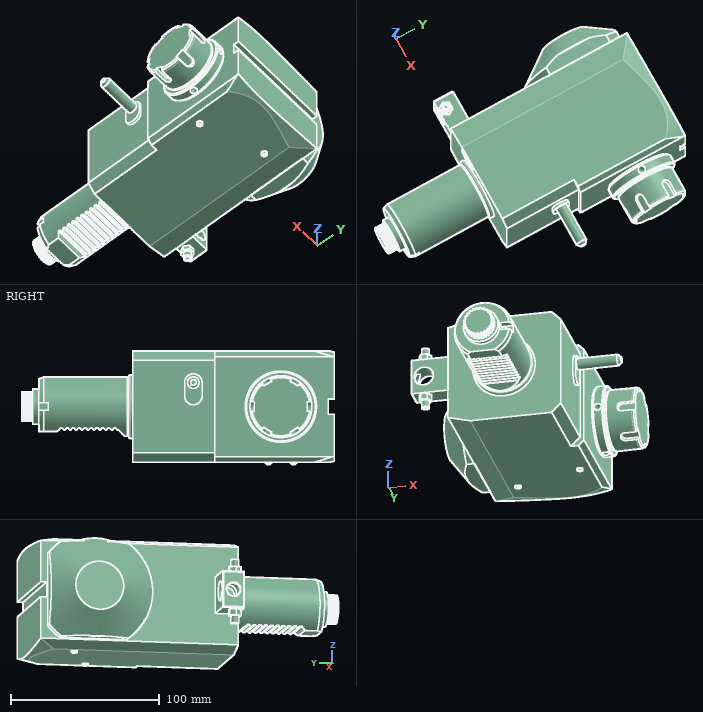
import cadquery as cq
import math


HALF_HEIGHT = 37.5
LEFT_X = -39.0
RIGHT_X = 42.0
BACK_Y = 136.0
LEFT_BEVEL_WIDTH = 15.5
LEFT_BEVEL_ANGLE = 15
LEFT_BEVEL_DROP = LEFT_BEVEL_WIDTH * math.tan(math.radians(LEFT_BEVEL_ANGLE))
RIGHT_CHAMFER = 3.8
STEP_X = 39.2
STEP_Y = 55.3
STEP_CHAMFER = 6.3
KEY_SLOT_HEIGHT = 10.1
KEY_SLOT_DEPTH = 4.0
CROWN_RUN_PER_DROP = 4.4
CROWN_DROP = 6.3
CROWN_CREST = [(-46.5, -21.3), (-23.6, -11.8), (-3.8, -6.0), (13.5, -3.2), (28.7, -6.5), (37.5, -12.9), (44.3, -21.3)]
PLUG_X = -15.8
PLUG_Z = 27.6
PLUG_RADIUS = 7.5
PLUG_RECESS = 0.5

SPINDLE_Y = 100.0
RING_RADIUS = 24.0
RING_START_X = 42.6
RING_END_X = 50.2
RING_CHAMFER = 0.8
RING_NECK_RADIUS = 22.8
RING_HOLE_RADIUS = 2.5
RING_HOLE_DEPTH = 3.2
RING_HOLE_COUNT = 4
NUT_RADIUS = 20.9
NUT_START_X = 51.5
NUT_END_X = 71.5
NUT_NECK_RADIUS = 20.3
NUT_CHAMFER = 1.0
NUT_TAPER_START_X = 69.0
NUT_TAPER_DROP = 0.2
NUT_SLOT_COUNT = 6
NUT_SLOT_WIDTH = 6.3
NUT_SLOT_DEPTH = 3.0
NUT_SLOT_START_X = 59.3

CAP_RADIUS = 39.9
CAP_TIP_RADIUS = 16.5
CAP_RIM_X = -44.7
CAP_TIP_X = -62.0
CAP_FLAT_Z = 32.5
CAP_TOP_FLAT_END_X = -48.5
CAP_BOTTOM_FLAT_END_X = -49.8
CAP_BACK_FLAT_Y = 131.2

SHANK_RADIUS = 20.0
SHANK_END_Y = -63.3
SHANK_CHAMFER_LENGTH = 3.4
SHANK_CHAMFER_DEPTH = 1.3
COLLAR_RADIUS = 21.5
COLLAR_LENGTH = 2.7
COLLAR_ROUND = 1.3
COLLAR_GROOVE_END_Y = -3.5
COLLAR_GROOVE_RADIUS = 19.6
NOSE_RADIUS = 12.0
NOSE_END_Y = -67.5
SPLINE_TIP_RADIUS = 10.0
SPLINE_ROOT_RADIUS = 9.0
SPLINE_END_Y = -75.0
SPLINE_TEETH = 24
RACK_RAMP_START_Y = -5.3
RACK_TIP_Z = -15.8
RACK_ROOT_Z = -14.5
RACK_PITCH = 4.0
RACK_FIRST_GROOVE_Y = -12.0
RACK_GROOVES = 10
RACK_GROOVE_FLAT = 1.0
RELIEF_Z = -16.9
RELIEF_START_Y = -51.3
END_SLOT_HALF_WIDTH = 2.5
END_POCKET_OUTER_X = 15.5
END_SLOT_DEPTH = 6.3
END_POCKET_HALF_WIDTH = 2.0
END_POCKET_DEPTH = 9.5

BLOCK_LEFT_X = -65.0
BLOCK_HALF_HEIGHT = 12.5
BLOCK_FRONT_Y = 1.0
BLOCK_BACK_Y = 16.0
BLOCK_CHAMFER = 0.6
PORT_X = -56.1
FRONT_PORT_RADIUS = 6.5
SIDE_PORT_Y = 8.5
SIDE_PORT_RADIUS = 4.9
SIDE_PORT_END_X = -42.2
SIDE_PASSAGE_RADIUS = 1.0
FITTING_Y = 6.0
FITTING_HEX_DIAMETER = 8.9
FITTING_HEX_HEIGHT = 4.2
FITTING_TUBE_RADIUS = 2.64
FITTING_HEIGHT = 9.3
FITTING_BORE_RADIUS = 1.7
FITTING_BORE_DEPTH = 4.2

PIN_Y = 41.0
PIN_Z = 16.2
PIN_RADIUS = 3.9
PIN_END_X = NUT_END_X
PIN_TIP_LENGTH = 2.3
PIN_TIP_RADIUS = 2.0
PIN_PAD_RADIUS = 6.0
PIN_PAD_END_X = 41.1
PIN_PAD_LOWER_Z = 7.2
SCREW_PLACES = [(-16.7, SPINDLE_Y + 8.5), (30.4, SPINDLE_Y - 8.5)]
SCREW_RADIUS = 2.1
SCREW_TIP_RADIUS = 0.8
SCREW_HEIGHT = 1.5
SCREW_RIM_HEIGHT = 0.6

OVERLAP = 0.5
CLEAR = 10.5


def box(x0, x1, y0, y1, z0, z1):
    """Box given by its limits along each axis."""
    return cq.Workplane("XY").box(x1 - x0, y1 - y0, z1 - z0, centered=False).translate((x0, y0, z0))


def turned_x(profile, y, z):
    """Revolve (x, radius) points about an axis parallel to X."""
    solid = cq.Workplane("XY").polyline(profile).close().revolve(360, (0, 0), (1, 0))
    return solid.translate((0, y, z))


def turned_y(profile):
    """Revolve (radius, y) points about the Y axis."""
    return cq.Workplane("XY").polyline(profile).close().revolve(360, (0, 0), (0, 1))


def housing_prism(right_x, chamfer, y0, y1):
    """Length of the housing with its bevelled left and chamfered right edges."""
    upper = [
        (LEFT_X, HALF_HEIGHT - LEFT_BEVEL_DROP),
        (LEFT_X + LEFT_BEVEL_WIDTH, HALF_HEIGHT),
        (right_x - chamfer, HALF_HEIGHT),
        (right_x, HALF_HEIGHT - chamfer),
    ]
    lower = [(x, -z) for x, z in reversed(upper)]
    prism = cq.Workplane("XZ").polyline(upper + lower).close().extrude(y0 - y1)
    return prism.translate((0, y0, 0))


def crown_cutter():
    """Oblique body that slopes the rear of the top face down along a curved front."""
    edge = [(x, BACK_Y + y) for x, y in CROWN_CREST]
    rear_y = BACK_Y + CLEAR
    outline = cq.Workplane("XY", origin=(0, 0, HALF_HEIGHT))
    outline = outline.moveTo(*edge[0]).spline(edge[1:], includeCurrent=True)
    wire = outline.lineTo(edge[-1][0], rear_y).lineTo(edge[0][0], rear_y).close().wires().val()
    slope = cq.Vector(0, CROWN_DROP * CROWN_RUN_PER_DROP, -CROWN_DROP)
    return cq.Workplane(obj=cq.Solid.extrudeLinear(wire, [], slope))


def make_housing():
    body = housing_prism(STEP_X, STEP_CHAMFER, 0, STEP_Y)
    body = body.union(housing_prism(RIGHT_X, RIGHT_CHAMFER, STEP_Y, BACK_Y))
    cutter = crown_cutter()
    body = body.cut(cutter).cut(cutter.mirror("XY"))
    slot_z = KEY_SLOT_HEIGHT / 2
    slot_floor_y = BACK_Y - KEY_SLOT_DEPTH
    body = body.cut(box(LEFT_X - CLEAR, RIGHT_X + CLEAR, slot_floor_y, BACK_Y + CLEAR, -slot_z, slot_z))
    plug = cq.Workplane("XZ").center(PLUG_X, PLUG_Z).circle(PLUG_RADIUS).extrude(-PLUG_RECESS)
    return body.cut(plug)


def make_cap():
    profile = [
        (LEFT_X + OVERLAP, 0),
        (LEFT_X + OVERLAP, CAP_RADIUS),
        (CAP_RIM_X, CAP_RADIUS),
        (CAP_TIP_X, CAP_TIP_RADIUS),
        (CAP_TIP_X, 0),
    ]
    cap = turned_x(profile, SPINDLE_Y, 0)
    y0 = SPINDLE_Y - CAP_RADIUS - CLEAR
    y1 = SPINDLE_Y + CAP_RADIUS + CLEAR
    reach = CAP_RADIUS + CLEAR
    cap = cap.cut(box(CAP_TOP_FLAT_END_X, RIGHT_X, y0, y1, CAP_FLAT_Z, reach))
    cap = cap.cut(box(CAP_BOTTOM_FLAT_END_X, RIGHT_X, y0, y1, -reach, -CAP_FLAT_Z))
    return cap.cut(box(CAP_TIP_X - CLEAR, RIGHT_X, CAP_BACK_FLAT_Y, y1, -reach, reach))


def make_spindle():
    profile = [
        (RIGHT_X - OVERLAP, 0),
        (RIGHT_X - OVERLAP, RING_NECK_RADIUS),
        (RING_START_X, RING_NECK_RADIUS),
        (RING_START_X, RING_RADIUS - RING_CHAMFER),
        (RING_START_X + RING_CHAMFER, RING_RADIUS),
        (RING_END_X - RING_CHAMFER, RING_RADIUS),
        (RING_END_X, RING_RADIUS - RING_CHAMFER),
        (RING_END_X, NUT_NECK_RADIUS),
        (NUT_START_X, NUT_NECK_RADIUS),
        (NUT_START_X, NUT_RADIUS),
        (NUT_TAPER_START_X, NUT_RADIUS),
        (NUT_END_X - NUT_CHAMFER, NUT_RADIUS - NUT_TAPER_DROP),
        (NUT_END_X, NUT_RADIUS - NUT_TAPER_DROP - NUT_CHAMFER),
        (NUT_END_X, 0),
    ]
    spindle = turned_x(profile, 0, 0)

    ring_mid_x = (RING_START_X + RING_END_X) / 2
    mouth = cq.Vector(ring_mid_x, 0, RING_RADIUS)
    cone = cq.Solid.makeCone(RING_HOLE_RADIUS, 0, RING_HOLE_DEPTH, mouth, cq.Vector(0, 0, -1))
    hole = cq.Workplane(obj=cone)
    for i in range(RING_HOLE_COUNT):
        spindle = spindle.cut(hole.rotate((0, 0, 0), (1, 0, 0), i * 360 / RING_HOLE_COUNT))

    half_width = NUT_SLOT_WIDTH / 2
    floor = NUT_RADIUS - NUT_SLOT_DEPTH
    round_x = NUT_SLOT_START_X + half_width
    slot = box(round_x, NUT_END_X + CLEAR, -half_width, half_width, floor, NUT_RADIUS + CLEAR)
    round_end = cq.Workplane("XY", origin=(round_x, 0, floor)).circle(half_width)
    round_end = round_end.extrude(NUT_SLOT_DEPTH + CLEAR)
    slot = slot.union(round_end)
    slot_step = 360 / NUT_SLOT_COUNT
    for i in range(NUT_SLOT_COUNT):
        spindle = spindle.cut(slot.rotate((0, 0, 0), (1, 0, 0), (i + 0.5) * slot_step))
    return spindle.translate((0, SPINDLE_Y, 0))


def rack_cutter():
    """Side profile (y, z) of the material removed under the shank: ramp, rack grooves and end relief."""
    bottom_z = -SHANK_RADIUS - CLEAR
    rise = RACK_ROOT_Z - RACK_TIP_Z
    half_flat = RACK_GROOVE_FLAT / 2
    half_mouth = half_flat + rise
    ramp_length = SHANK_RADIUS + RACK_TIP_Z
    points = [
        (RACK_RAMP_START_Y, bottom_z),
        (RACK_RAMP_START_Y, -SHANK_RADIUS),
        (RACK_RAMP_START_Y - ramp_length, RACK_TIP_Z),
    ]
    for i in range(RACK_GROOVES):
        y = RACK_FIRST_GROOVE_Y - i * RACK_PITCH
        points += [(y + half_mouth, RACK_TIP_Z), (y + half_flat, RACK_ROOT_Z)]
        points += [(y - half_flat, RACK_ROOT_Z), (y - half_mouth, RACK_TIP_Z)]
    points += [(RELIEF_START_Y, RELIEF_Z), (SHANK_END_Y, RELIEF_Z), (SHANK_END_Y, bottom_z)]
    return cq.Workplane("YZ").polyline(points).close().extrude(SHANK_RADIUS + CLEAR, both=True)


def make_shank():
    profile = [
        (0, OVERLAP),
        (COLLAR_GROOVE_RADIUS, OVERLAP),
        (COLLAR_GROOVE_RADIUS, COLLAR_GROOVE_END_Y),
        (SHANK_RADIUS, COLLAR_GROOVE_END_Y),
        (SHANK_RADIUS, SHANK_END_Y + SHANK_CHAMFER_LENGTH),
        (SHANK_RADIUS - SHANK_CHAMFER_DEPTH, SHANK_END_Y),
        (0, SHANK_END_Y),
    ]
    shank = turned_y(profile).cut(rack_cutter())

    slot_end_y = SHANK_END_Y + END_SLOT_DEPTH
    slot_z = END_SLOT_HALF_WIDTH
    shank = shank.cut(box(NOSE_RADIUS, COLLAR_RADIUS, SHANK_END_Y, slot_end_y, -slot_z, slot_z))
    pocket_end_y = SHANK_END_Y + END_POCKET_DEPTH
    pocket_z = END_POCKET_HALF_WIDTH
    shank = shank.cut(box(NOSE_RADIUS, END_POCKET_OUTER_X, SHANK_END_Y, pocket_end_y, -pocket_z, pocket_z))

    collar = cq.Workplane("XZ").circle(COLLAR_RADIUS).extrude(COLLAR_LENGTH)
    collar = collar.faces("<Y").edges().fillet(COLLAR_ROUND)
    shank = shank.union(collar)

    nose = cq.Workplane("XZ", origin=(0, SHANK_END_Y + OVERLAP, 0)).circle(NOSE_RADIUS)
    nose = nose.extrude(SHANK_END_Y + OVERLAP - NOSE_END_Y)
    return shank.union(nose).union(make_spline())


def make_spline():
    points = []
    quarter_pitch = math.pi / 2 / SPLINE_TEETH
    tooth_radii = [SPLINE_ROOT_RADIUS, SPLINE_TIP_RADIUS, SPLINE_TIP_RADIUS, SPLINE_ROOT_RADIUS]
    for tooth in range(SPLINE_TEETH):
        for corner, radius in enumerate(tooth_radii):
            angle = (4 * tooth + corner) * quarter_pitch
            points.append((radius * math.cos(angle), radius * math.sin(angle)))
    start_y = NOSE_END_Y + OVERLAP
    spline = cq.Workplane("XZ", origin=(0, start_y, 0)).polyline(points).close()
    return spline.extrude(start_y - SPLINE_END_Y)


def make_fitting():
    """Hex fitting with an open tube, standing on the top of the coolant block."""
    base = cq.Workplane("XY", origin=(PORT_X, FITTING_Y, BLOCK_HALF_HEIGHT - OVERLAP))
    hexagon = base.polygon(6, FITTING_HEX_DIAMETER).extrude(FITTING_HEX_HEIGHT + OVERLAP)
    tube = base.circle(FITTING_TUBE_RADIUS).extrude(FITTING_HEIGHT + OVERLAP)
    tube_top_z = BLOCK_HALF_HEIGHT + FITTING_HEIGHT
    bore = cq.Workplane("XY", origin=(PORT_X, FITTING_Y, tube_top_z))
    bore = bore.circle(FITTING_BORE_RADIUS).extrude(-FITTING_BORE_DEPTH)
    return hexagon.union(tube).cut(bore)


def make_coolant_block():
    top_z = BLOCK_HALF_HEIGHT
    block = box(BLOCK_LEFT_X, LEFT_X + OVERLAP, BLOCK_FRONT_Y, BLOCK_BACK_Y, -top_z, top_z)
    block = block.faces("<X").edges().chamfer(BLOCK_CHAMFER)
    front_port = cq.Workplane("XZ").center(PORT_X, 0).circle(FRONT_PORT_RADIUS).extrude(-BLOCK_BACK_Y - CLEAR)
    side = cq.Workplane("YZ", origin=(BLOCK_LEFT_X, SIDE_PORT_Y, 0))
    side_port = side.circle(SIDE_PORT_RADIUS).extrude(SIDE_PORT_END_X - BLOCK_LEFT_X)
    side_passage = side.circle(SIDE_PASSAGE_RADIUS).extrude(LEFT_X - BLOCK_LEFT_X)
    block = block.cut(front_port).cut(side_port).cut(side_passage)
    fitting = make_fitting()
    return block.union(fitting).union(fitting.mirror("XY"))


def make_stop_pin():
    start_x = STEP_X - OVERLAP
    profile = [
        (start_x, 0),
        (start_x, PIN_RADIUS),
        (PIN_END_X - PIN_TIP_LENGTH, PIN_RADIUS),
        (PIN_END_X, PIN_TIP_RADIUS),
        (PIN_END_X, 0),
    ]
    pin = turned_x(profile, PIN_Y, PIN_Z)
    pad_mid_z = (PIN_Z + PIN_PAD_LOWER_Z) / 2
    pad_length = PIN_Z - PIN_PAD_LOWER_Z + 2 * PIN_PAD_RADIUS
    pad = cq.Workplane("YZ", origin=(start_x, PIN_Y, pad_mid_z))
    pad = pad.slot2D(pad_length, 2 * PIN_PAD_RADIUS, 90).extrude(PIN_PAD_END_X - start_x)
    return pin.union(pad)


def make_screw(x, y):
    """Low tapered screw head under the housing."""
    rim_z = -HALF_HEIGHT - SCREW_RIM_HEIGHT
    rim = cq.Workplane("XY", origin=(x, y, rim_z)).circle(SCREW_RADIUS).extrude(SCREW_RIM_HEIGHT + OVERLAP)
    tip_height = SCREW_HEIGHT - SCREW_RIM_HEIGHT
    base = cq.Vector(x, y, rim_z)
    tip = cq.Solid.makeCone(SCREW_RADIUS, SCREW_TIP_RADIUS, tip_height, base, cq.Vector(0, 0, -1))
    return rim.union(cq.Workplane(obj=tip))


result = make_housing()
for part in [make_cap(), make_spindle(), make_shank(), make_coolant_block(), make_stop_pin()]:
    result = result.union(part)
for screw_x, screw_y in SCREW_PLACES:
    result = result.union(make_screw(screw_x, screw_y))